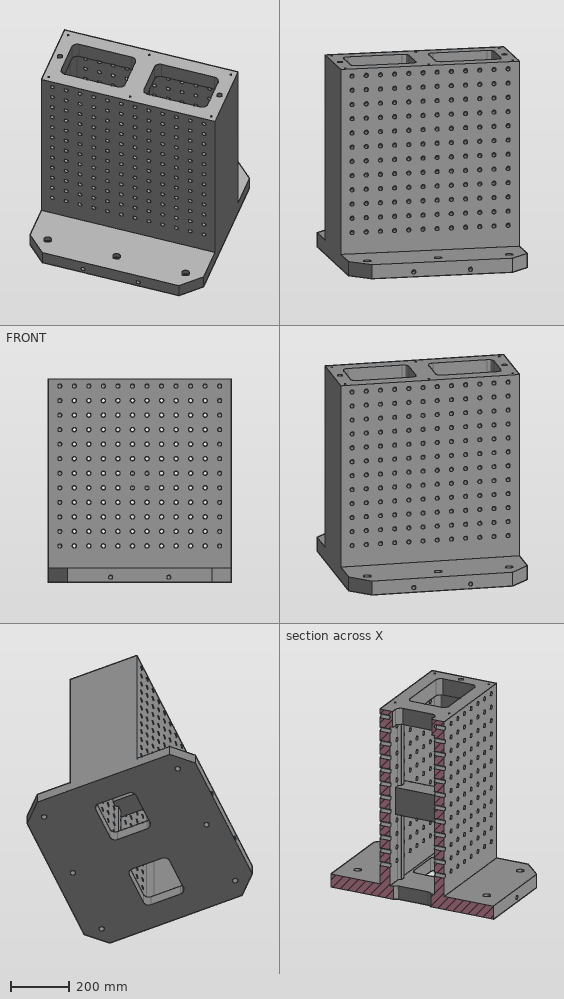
import cadquery as cq
import math

height = 700.0
width = 630.0
pitch = height / 14

base_thickness = pitch
base_corner_chamfer = 67.0
bolt_offset = 5 * pitch
bolt_hole_diameter = 18.0
bolt_counterbore_diameter = 26.0
bolt_counterbore_depth = 17.5
base_window_size = (160.0, 3 * pitch)
base_window_offset = 145.5
window_corner_radius = 19.5

tower_depth = 5 * pitch
top_thickness = 60.0
top_window_size = (230.0, 3 * pitch)
top_window_offset = 3 * pitch
top_rim_half_width = top_window_offset - top_window_size[0] / 2

chamber_wall = 40.0
chamber_depth = tower_depth - 2 * chamber_wall
chamber_outer_x = 275.0
rib_corner_radius = 10.0
rib_thickness = 20.0
rib_opening_depth = chamber_depth - 2 * rib_corner_radius
block_width = 2 * top_rim_half_width
block_height = 2 * pitch
chamber_bottom = base_thickness
chamber_top = height - top_thickness
chamber_height = chamber_top - chamber_bottom
block_bottom = (height - block_height) / 2

grid_count = 12
grid_hole_diameter = 14.0
grid_blind_depth = 35.0
grid_through_depth = chamber_wall + rib_corner_radius
grid_top_z = height - pitch / 2
drill_tip_angle = 118

side_hole_diameter = 14.0
side_hole_depth = 35.0
side_hole_x = 2 * pitch
side_hole_z = 17.5
lift_hole_diameter = 17.5
lift_hole_depth = 35.0
lift_hole_x = 290.0
pin_hole_diameter = 5.0
pin_hole_depth = 14.0
pin_hole_x = 295.5
pin_hole_y = 105.0


def block(size_x, size_y, bottom, size_z, center_x=0.0):
    """Box centred in Y, standing on the height `bottom`."""
    box = cq.Workplane("XY").box(size_x, size_y, size_z, centered=(True, True, False))
    return box.translate((center_x, 0, bottom))


def rounded_block(size_x, size_y, bottom, size_z, center_x, radius):
    """Box with rounded upright edges."""
    return block(size_x, size_y, bottom, size_z, center_x).edges("|Z").fillet(radius)


def drill(diameter, depth, point, direction):
    """Blind hole with a conical drill tip, starting at `point`."""
    radius = diameter / 2
    tip_length = radius / math.tan(math.radians(drill_tip_angle / 2))
    start = cq.Vector(*point)
    axis = cq.Vector(*direction)
    shank = cq.Solid.makeCylinder(radius, depth, start, axis)
    tip = cq.Solid.makeCone(radius, 0, tip_length, start + axis * depth, axis)
    return shank.fuse(tip)


def make_base():
    plate = block(width, width, 0, base_thickness).edges("|Z").chamfer(base_corner_chamfer)
    bolt_points = [(x, y) for x in (-bolt_offset, 0, bolt_offset) for y in (-bolt_offset, bolt_offset)]
    return (
        plate.faces(">Z").workplane(origin=(0, 0, base_thickness))
        .pushPoints(bolt_points)
        .cboreHole(bolt_hole_diameter, bolt_counterbore_diameter, bolt_counterbore_depth)
    )


def make_chambers():
    """Two chambers joined through the rib, above and below the solid block at mid height."""
    chamber_width = chamber_outer_x - rib_thickness / 2
    chamber_center = (chamber_outer_x + rib_thickness / 2) / 2
    right_chamber = (
        block(chamber_width, chamber_depth, chamber_bottom, chamber_height, chamber_center)
        .edges("|Z and >X").fillet(window_corner_radius)
        .edges("|Z and <X").fillet(rib_corner_radius)
    )
    opening_width = rib_thickness + 2 * rib_corner_radius
    rib_opening = block(opening_width, rib_opening_depth, chamber_bottom, chamber_height)
    chambers = rib_opening.union(right_chamber).union(right_chamber.mirror("YZ"))
    return chambers.cut(block(block_width, tower_depth, block_bottom, block_height))


def make_windows():
    """Openings of both chambers through the top plate and through the base plate."""
    windows = cq.Workplane("XY")
    for side in (-1, 1):
        top_window = rounded_block(
            *top_window_size, chamber_top, top_thickness, side * top_window_offset, window_corner_radius)
        base_window = rounded_block(
            *base_window_size, 0, base_thickness, side * base_window_offset, window_corner_radius)
        windows = windows.add(top_window).add(base_window)
    return windows


def grid_hole_is_blind(column, row):
    """Holes over solid metal stay blind: the top row, the outer columns and the mid block."""
    middle_columns = (grid_count // 2 - 1, grid_count // 2)
    from_mid_height = abs(grid_top_z - row * pitch - height / 2)
    over_block = column in middle_columns and from_mid_height < block_height / 2
    return row == 0 or column in (0, grid_count - 1) or over_block


def grid_holes():
    holes = []
    for column in range(grid_count):
        x = (column - (grid_count - 1) / 2) * pitch
        for row in range(grid_count):
            z = grid_top_z - row * pitch
            for side in (-1, 1):
                start = (x, side * tower_depth / 2, z)
                inward = (0, -side, 0)
                if grid_hole_is_blind(column, row):
                    holes.append(drill(grid_hole_diameter, grid_blind_depth, start, inward))
                else:
                    holes.append(cq.Solid.makeCylinder(
                        grid_hole_diameter / 2, grid_through_depth, cq.Vector(*start), cq.Vector(*inward)))
    return holes


def side_holes():
    return [
        drill(side_hole_diameter, side_hole_depth, (x, side * width / 2, side_hole_z), (0, -side, 0))
        for x in (-side_hole_x, side_hole_x)
        for side in (-1, 1)
    ]


def top_holes():
    down = (0, 0, -1)
    holes = [
        drill(lift_hole_diameter, lift_hole_depth, (x, 0, height), down)
        for x in (-lift_hole_x, lift_hole_x)
    ]
    for x in (-pin_hole_x, 0, pin_hole_x):
        for y in (-pin_hole_y, pin_hole_y):
            holes.append(drill(pin_hole_diameter, pin_hole_depth, (x, y, height), down))
    return holes


tower = block(width, tower_depth, base_thickness, height - base_thickness)
body = make_base().union(tower).cut(make_chambers())
openings = make_windows().vals() + grid_holes() + side_holes() + top_holes()
result = cq.Workplane("XY").newObject([body.val().cut(*openings)])